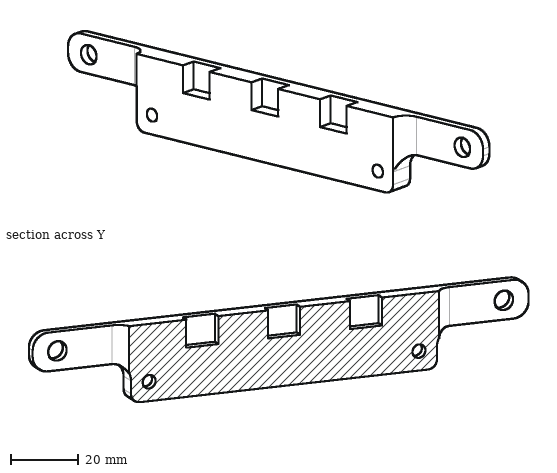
import cadquery as cq

length = 160.1
thickness = 8.0
height = 24.0

tab_thickness = 3.0
tab_height = 12.0
tab_corner_radius = 5.0
tab_hole_diameter = 6.0
tab_hole_inset = 8.0

body_length = 99.0
body_corner_radius = 3.0
blend_radius = thickness - tab_thickness

pocket_count = 3
pocket_pitch = 26.4
pocket_width = 10.2
pocket_height = 8.6
pocket_depth = blend_radius

blind_hole_diameter = 4.0
blind_hole_depth = 5.0
blind_hole_spacing = 87.1
blind_hole_drop = 18.0

half_length = length / 2
half_body = body_length / 2
blend_start = half_body + blend_radius


def front_outline():
    """Full-thickness T shape with rounded tabs, inner blends and lower corners."""
    tabs = (
        cq.Workplane("XY")
        .box(length, thickness, tab_height, centered=(True, False, False))
        .translate((0, -thickness, -tab_height))
        .edges("|Y")
        .fillet(tab_corner_radius)
    )
    body = (
        cq.Workplane("XY")
        .box(body_length, thickness, height, centered=(True, False, False))
        .translate((0, -thickness, -height))
        .edges("|Y and <Z")
        .fillet(body_corner_radius)
    )
    joined = tabs.union(body)
    margin = 1.6
    inner_corners = cq.selectors.BoxSelector(
        (-half_body - margin, -thickness - margin, -tab_height - margin),
        (half_body + margin, margin, -tab_height + margin),
    )
    return joined.edges("|Y").edges(inner_corners).fillet(blend_radius)


def plan_profile():
    """Thin tabs that sweep forward to the body with concave quarter circles."""
    return (
        cq.Workplane("XY")
        .moveTo(-half_length, 0)
        .lineTo(half_length, 0)
        .lineTo(half_length, -tab_thickness)
        .lineTo(blend_start, -tab_thickness)
        .radiusArc((half_body, -thickness), -blend_radius)
        .lineTo(-half_body, -thickness)
        .radiusArc((-blend_start, -tab_thickness), -blend_radius)
        .lineTo(-half_length, -tab_thickness)
        .close()
        .extrude(-height)
    )


def pockets():
    """Square-cornered pockets open to the top and front."""
    return (
        cq.Workplane("XY")
        .center(0, -thickness + pocket_depth / 2)
        .rarray(pocket_pitch, 1.6, pocket_count, 1)
        .rect(pocket_width, pocket_depth)
        .extrude(-pocket_height)
    )


def hole_pair(diameter, spacing, drop, front, depth):
    """Two holes symmetric about X = 0, running backwards from Y = front."""
    half_spacing = spacing / 2
    return (
        cq.Workplane("XZ", origin=(0, front, 0))
        .pushPoints([(-half_spacing, -drop), (half_spacing, -drop)])
        .circle(diameter / 2)
        .extrude(-depth)
    )


tab_holes = hole_pair(
    tab_hole_diameter, length - 2 * tab_hole_inset, tab_height / 2, -tab_thickness, tab_thickness
)
blind_holes = hole_pair(
    blind_hole_diameter, blind_hole_spacing, blind_hole_drop, -thickness, blind_hole_depth
)

result = front_outline().intersect(plan_profile()).cut(pockets()).cut(tab_holes).cut(blind_holes)